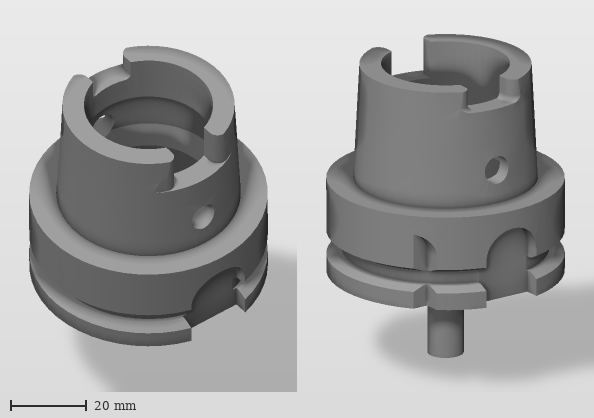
import cadquery as cq
import math


shank_height = 31.9
shank_base_radius = 24.35
shank_top_radius = 22.7

flange_radius = 62.9 / 2
flange_thickness = 26.0
groove_radius = 27.35
groove_mouth_radius = 29.0
groove_top = -14.7
groove_bottom = -21.3
groove_flank_height = 1.3

total_length = 80.9
pin_radius = 9.6 / 2
pin_end = shank_height - total_length
cone_radius = 25.65
cone_angle = 15
pin_fillet = 5.0

bore_radius = 34.05 / 2
bore_floor = -9.2
bore_fillet = 1.3
undercut_radius = 40.05 / 2
undercut_top = 18.85
undercut_bottom = 6.3
undercut_shoulder_angle = 60

cross_hole_diameter = 7.5
cross_hole_height = 9.1

rim_slot_half_width = 6.27
rim_slot_arc_start = 18.3
rim_slot_arc_radius = 2.7
shallow_rim_slot_depth = 6.0
deep_rim_slot_depth = 10.1
rim_slot_fillet = 1.45

keyway_floor = 26.3
keyway_top = -5.0
narrow_keyway_width = 16.0
wide_keyway_width = 18.0

notch_floor = 20.1
notch_inner_side = 19.8
notch_width = 12.0
notch_top = -4.85

clearance = 4.05


def make_body():
    slope = math.tan(math.radians(cone_angle))
    cone_tip = -flange_thickness - (cone_radius - pin_radius) * slope
    outline = [
        (0, shank_height),
        (shank_top_radius, shank_height),
        (shank_base_radius, 0),
        (flange_radius, 0),
        (flange_radius, groove_top),
        (groove_mouth_radius, groove_top - groove_flank_height),
        (groove_radius, groove_top - groove_flank_height),
        (groove_radius, groove_bottom + groove_flank_height),
        (groove_mouth_radius, groove_bottom + groove_flank_height),
        (flange_radius, groove_bottom),
        (flange_radius, -flange_thickness),
        (cone_radius, -flange_thickness),
        (pin_radius, cone_tip),
        (pin_radius, pin_end),
        (0, pin_end),
    ]
    body = cq.Workplane("XZ").polyline(outline).close().revolve(360, (0, 0), (0, 1))
    pin_root = cq.selectors.NearestToPointSelector((0, 0, cone_tip))
    return body.edges(pin_root).fillet(pin_fillet)


def make_bore():
    bore = (
        cq.Workplane("XY", origin=(0, 0, bore_floor))
        .circle(bore_radius)
        .extrude(shank_height - bore_floor)
        .faces("<Z").edges().fillet(bore_fillet)
    )
    shoulder_slope = math.tan(math.radians(undercut_shoulder_angle))
    shoulder_end = undercut_bottom - (undercut_radius - bore_radius) * shoulder_slope
    undercut = (
        cq.Workplane("XZ")
        .polyline([
            (0, undercut_top),
            (undercut_radius, undercut_top),
            (undercut_radius, undercut_bottom),
            (bore_radius, shoulder_end),
            (0, shoulder_end),
        ])
        .close()
        .revolve(360, (0, 0), (0, 1))
    )
    return bore.union(undercut)


def make_rim_slot(depth):
    """Slot open towards +X; each side rounds outwards, then leaves along a tangent line."""
    center_x = rim_slot_arc_start
    center_y = rim_slot_half_width + rim_slot_arc_radius
    end_angle = math.atan2(center_y, center_x)

    def arc_point(angle):
        return (
            center_x + rim_slot_arc_radius * math.cos(angle),
            center_y + rim_slot_arc_radius * math.sin(angle),
        )

    def mirrored(point):
        return (point[0], -point[1])

    start = (center_x, rim_slot_half_width)
    middle = arc_point((end_angle - math.pi / 2) / 2)
    end = arc_point(end_angle)
    tail_length = 2 * clearance
    tail = (
        end[0] - tail_length * math.sin(end_angle),
        end[1] + tail_length * math.cos(end_angle),
    )
    outside_x = shank_base_radius + clearance
    outside = (outside_x, tail[1])
    return (
        cq.Workplane("XY", origin=(0, 0, shank_height - depth))
        .moveTo(0, rim_slot_half_width)
        .lineTo(*start)
        .threePointArc(middle, end)
        .lineTo(*tail)
        .lineTo(*outside)
        .lineTo(*mirrored(outside))
        .lineTo(*mirrored(tail))
        .lineTo(*mirrored(end))
        .threePointArc(mirrored(middle), mirrored(start))
        .lineTo(0, -rim_slot_half_width)
        .close()
        .extrude(depth + clearance)
    )


def make_flange_slot(width, top, floor, center_y=0):
    """Round-topped slot open towards +X and running out through the flange bottom."""
    radius = width / 2
    bottom = -flange_thickness - clearance
    return (
        cq.Workplane("YZ", origin=(floor, 0, 0))
        .moveTo(center_y - radius, bottom)
        .lineTo(center_y - radius, top - radius)
        .threePointArc((center_y, top), (center_y + radius, top - radius))
        .lineTo(center_y + radius, bottom)
        .close()
        .extrude(flange_radius + clearance - floor)
    )


def turned_to_minus_x(cutter):
    return cutter.rotate((0, 0, 0), (0, 0, 1), 180)


result = make_body().cut(make_bore())

cross_hole = (
    cq.Workplane("YZ", origin=(0, 0, cross_hole_height))
    .circle(cross_hole_diameter / 2)
    .extrude(shank_base_radius + clearance, both=True)
)
result = result.cut(cross_hole)

shallow_rim_slot = make_rim_slot(shallow_rim_slot_depth).faces("<Z").edges("not >X").fillet(rim_slot_fillet)
result = result.cut(turned_to_minus_x(shallow_rim_slot))
result = result.cut(make_rim_slot(deep_rim_slot_depth))

narrow_keyway = make_flange_slot(narrow_keyway_width, keyway_top, keyway_floor)
wide_keyway = make_flange_slot(wide_keyway_width, keyway_top, keyway_floor)
result = result.cut(turned_to_minus_x(narrow_keyway)).cut(wide_keyway)

notch_center = -(notch_inner_side + notch_width / 2)
notch = make_flange_slot(notch_width, notch_top, notch_floor, notch_center)
result = result.cut(turned_to_minus_x(notch))